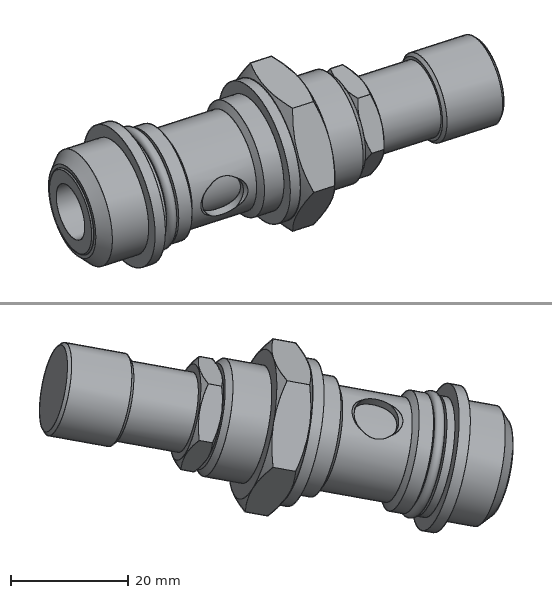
import cadquery as cq
import math

total_length = 80.3

nose_radius = 10.5
nose_chamfer = 2.1
rim_radius = 7.8
rim_height = 0.3
rim_chamfer = 0.25
bore_radius = 5.05
bore_depth = 8.0

washer_diameter = 25.6
washer_radius = washer_diameter / 2
front_washer_start = 9.5
front_washer_end = 11.5

collar_radius = 10.5
front_collar_end = 18.7

ring_section_radius = 0.9
ring_outer_radius = 11.1
ring_center_y = 14.1
ring_center_radius = ring_outer_radius - ring_section_radius
groove_floor_radius = ring_center_radius - ring_section_radius
groove_width = 2.4

neck_radius = 9.15
neck_cone_depth = collar_radius - neck_radius
neck_cone_angle = 30
neck_cone_length = neck_cone_depth * math.tan(math.radians(neck_cone_angle))
rear_collar_start = 31.2
rear_collar_end = 35.8
pocket_center_y = 25.0
pocket_radius = 4.0
pocket_floor_radius = 7.55
countersink_radius = 4.6

large_hex_start = 37.8
large_hex_end = 44.4
large_hex_flats = 26.0
large_hex_front_circle = 12.7
large_hex_rear_circle = 13.0

sleeve_radius = 10.3
sleeve_chamfer = 1.05
sleeve_end = 52.4

small_hex_end = 56.5
small_hex_flats = 17.0
small_hex_circle = 8.35

shaft_radius = 7.0
knob_radius = 8.1
knob_chamfer = 0.6
knob_length = 11.95
knob_start = total_length - knob_length

hex_chamfer_angle = 30
hex_chamfer_slope = math.tan(math.radians(hex_chamfer_angle))

overshoot = 0.8


def cylinder_y(radius, y_start, y_end):
    """Cylinder on the Y axis between two stations."""
    circle = cq.Workplane("XZ", origin=(0, y_start, 0)).circle(radius)
    return circle.extrude(-(y_end - y_start))


def chamfered_hex(flats, y_start, y_end, front_circle, rear_circle):
    """Hexagon with corners on +X and -X, both end faces chamfered by turning."""
    corner_radius = flats / math.sqrt(3)
    hexagon = cq.Workplane("XZ", origin=(0, y_start, 0)).polygon(6, 2 * corner_radius)
    hexagon = hexagon.extrude(-(y_end - y_start))
    front_drop = (corner_radius - front_circle) * hex_chamfer_slope
    rear_drop = (corner_radius - rear_circle) * hex_chamfer_slope
    envelope = (
        cq.Workplane("XY")
        .moveTo(0, y_start)
        .lineTo(front_circle, y_start)
        .lineTo(corner_radius, y_start + front_drop)
        .lineTo(corner_radius, y_end - rear_drop)
        .lineTo(rear_circle, y_end)
        .lineTo(0, y_end)
        .close()
        .revolve(360, (0, 0, 0), (0, 1, 0))
    )
    return hexagon.intersect(envelope)


def make_nose():
    nose = cylinder_y(nose_radius, rim_height, front_washer_start)
    rim = cylinder_y(rim_radius, 0, rim_height)
    return nose.faces("<Y").chamfer(nose_chamfer).union(rim.faces("<Y").chamfer(rim_chamfer))


def make_turned_parts():
    front_collar = cylinder_y(collar_radius, front_washer_end, front_collar_end)
    rear_collar = cylinder_y(collar_radius, rear_collar_start, rear_collar_end)
    sleeve = cylinder_y(sleeve_radius, large_hex_end, sleeve_end)
    knob = cylinder_y(knob_radius, knob_start, total_length)
    return [
        cylinder_y(washer_radius, front_washer_start, front_washer_end),
        front_collar.faces(">Y").chamfer(neck_cone_length, neck_cone_depth),
        cylinder_y(neck_radius, front_collar_end, rear_collar_start),
        rear_collar.faces("<Y").chamfer(neck_cone_length, neck_cone_depth),
        cylinder_y(washer_radius, rear_collar_end, large_hex_start),
        sleeve.faces(">Y").chamfer(sleeve_chamfer),
        cylinder_y(shaft_radius, small_hex_end, knob_start),
        knob.faces("<Y or >Y").edges().chamfer(knob_chamfer),
    ]


def make_side_pocket():
    """Cutter for the +X pocket: a round hole with a 45 degree countersink, down to a round floor."""
    countersink_start = neck_radius - (countersink_radius - pocket_radius)
    cutter = (
        cq.Workplane("XY", origin=(0, pocket_center_y, 0))
        .lineTo(0, pocket_radius)
        .lineTo(countersink_start, pocket_radius)
        .lineTo(neck_radius + overshoot, countersink_radius + overshoot)
        .lineTo(neck_radius + overshoot, 0)
        .close()
        .revolve(360, (0, 0, 0), (1, 0, 0))
    )
    core = cylinder_y(pocket_floor_radius, front_collar_end, rear_collar_start)
    return cutter.cut(core)


def make_valve_body():
    body = make_nose()
    for part in make_turned_parts():
        body = body.union(part)
    body = body.union(
        chamfered_hex(
            large_hex_flats, large_hex_start, large_hex_end, large_hex_front_circle, large_hex_rear_circle
        )
    )
    body = body.union(
        chamfered_hex(small_hex_flats, sleeve_end, small_hex_end, small_hex_circle, small_hex_circle)
    )
    body = body.cut(cylinder_y(bore_radius, 0, bore_depth))

    groove_start = ring_center_y - groove_width / 2
    groove_end = ring_center_y + groove_width / 2
    groove = cylinder_y(collar_radius + overshoot, groove_start, groove_end)
    groove = groove.cut(cylinder_y(groove_floor_radius, groove_start, groove_end))
    body = body.cut(groove)

    pocket = make_side_pocket()
    return body.cut(pocket).cut(pocket.mirror("YZ"))


def make_o_ring():
    return (
        cq.Workplane("XY")
        .center(ring_center_radius, ring_center_y)
        .circle(ring_section_radius)
        .revolve(360, (-ring_center_radius, 0, 0), (-ring_center_radius, 1, 0))
    )


valve_body = make_valve_body()
o_ring = make_o_ring()

result = cq.Compound.makeCompound([valve_body.val(), o_ring.val()])